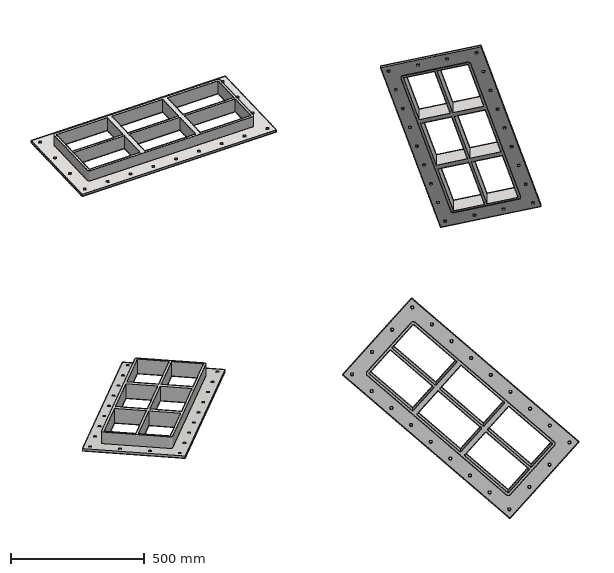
import cadquery as cq

flange_length = 834.0
flange_width = 391.0
flange_thickness = 10.0

flange_margin = 60.0
collar_length = flange_length - 2 * flange_margin
collar_width = flange_width - 2 * flange_margin
collar_height = 60.0
collar_drop = 3.0
corner_radius = 10.0
wall = 10.0

columns = 2
rows = 3
long_bar_width = wall
cross_bar_width = 2 * wall
window_width = (collar_width - 2 * wall - (columns - 1) * long_bar_width) / columns
window_length = (collar_length - 2 * wall - (rows - 1) * cross_bar_width) / rows

hole_diameter = 11.0
hole_margin = 25.0
holes_across = 4
holes_along = 9
hole_pitch_x = (flange_width - 2 * hole_margin) / (holes_across - 1)
hole_pitch_y = (flange_length - 2 * hole_margin) / (holes_along - 1)


def make_flange():
    return cq.Workplane("XY").rect(flange_width, flange_length).extrude(flange_thickness)


def make_collar():
    block = cq.Workplane("XY", origin=(0, 0, -collar_drop)).rect(collar_width, collar_length)
    return block.extrude(collar_height).edges("|Z").fillet(corner_radius)


def make_windows():
    pitch_x = window_width + long_bar_width
    pitch_y = window_length + cross_bar_width
    grid = cq.Workplane("XY", origin=(0, 0, -collar_drop)).rarray(pitch_x, pitch_y, columns, rows)
    return grid.rect(window_width, window_length).extrude(collar_height)


def bolt_positions():
    """Grid positions that lie on the outer border of the bolt pattern."""
    positions = []
    for i in range(holes_across):
        for j in range(holes_along):
            if i in (0, holes_across - 1) or j in (0, holes_along - 1):
                x = (i - (holes_across - 1) / 2) * hole_pitch_x
                y = (j - (holes_along - 1) / 2) * hole_pitch_y
                positions.append((x, y))
    return positions


def make_bolt_holes():
    return cq.Workplane("XY").pushPoints(bolt_positions()).circle(hole_diameter / 2).extrude(flange_thickness)


result = make_flange().union(make_collar()).cut(make_windows()).cut(make_bolt_holes())